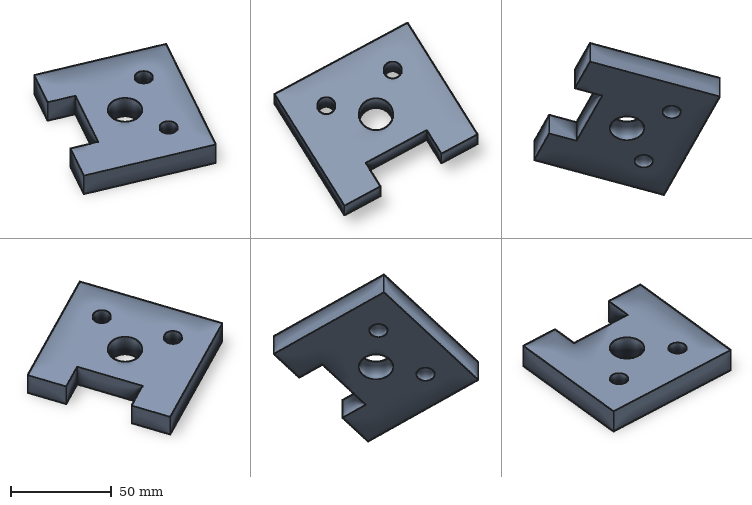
import cadquery as cq

width = 76.2
depth = 69.1
thickness = 12.7

notch_width = 34.9
notch_depth = 14.55

center_hole_diameter = 17.0
small_hole_diameter = 9.0
small_hole_spacing = 38.0
small_hole_offset = 16.3

plate = cq.Workplane("XY").box(width, depth, thickness, centered=(True, True, False))

notch = (
    cq.Workplane("XY")
    .center(0, (notch_depth - depth) / 2)
    .rect(notch_width, notch_depth)
    .extrude(thickness)
)

center_hole = cq.Workplane("XY").circle(center_hole_diameter / 2).extrude(thickness)

small_holes = (
    cq.Workplane("XY")
    .pushPoints([(side * small_hole_spacing / 2, small_hole_offset) for side in (-1, 1)])
    .circle(small_hole_diameter / 2)
    .extrude(thickness)
)

result = plate.cut(notch).cut(center_hole).cut(small_holes)